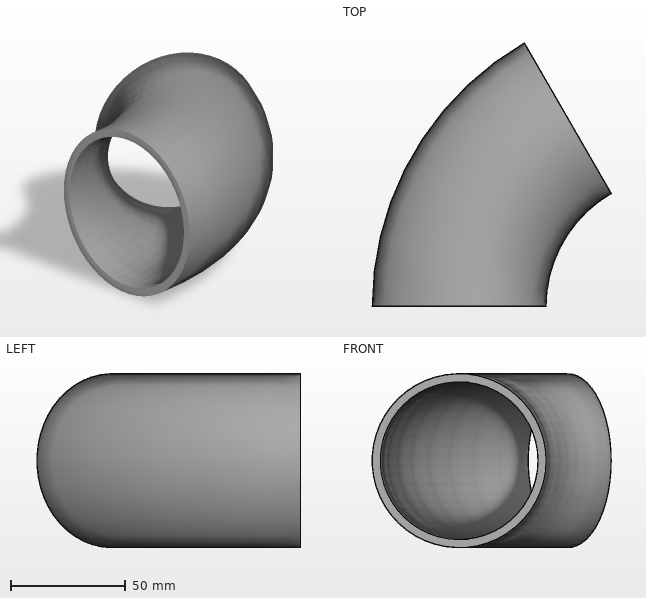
import cadquery as cq
import math

bend_angle = 60.0
overall_length = 115.2
outer_diameter = 76.0
wall_thickness = 3.6

outer_radius = outer_diameter / 2
bore_radius = outer_radius - wall_thickness

outside_bend_radius = overall_length / math.sin(math.radians(bend_angle))
bend_radius = outside_bend_radius - outer_radius


def make_elbow():
    """Revolve the pipe ring from the inlet face at Y = 0 towards +Y and +X."""
    ring = cq.Workplane("XZ").circle(outer_radius).circle(bore_radius)
    axis_start = (bend_radius, 0)
    axis_end = (bend_radius, -1)
    return ring.revolve(bend_angle, axis_start, axis_end)


result = make_elbow()